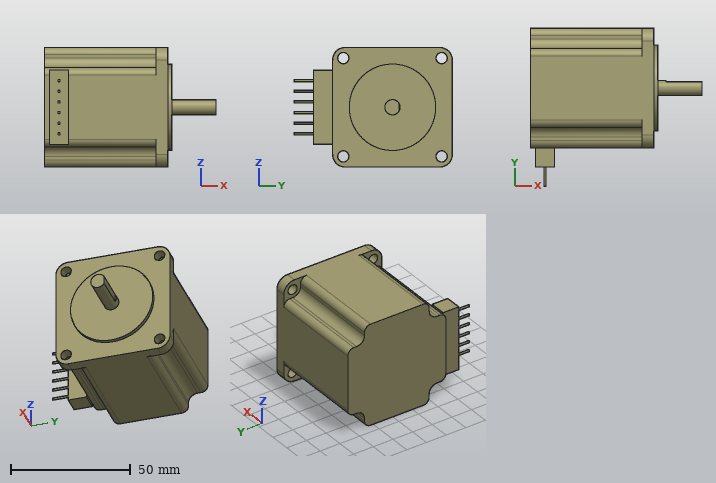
import cadquery as cq


body_width = 50.0
half_width = body_width / 2
flange_face_x = 51.5
flange_thickness = 5.1
flange_rear_x = flange_face_x - flange_thickness
flange_corner_radius = 5.35

hole_spacing = 41.0
hole_diameter = 4.6
relief_depth = 8.5
relief_edge_radius = 3.1
relief_inner_radius = relief_depth - (body_width - hole_spacing) / 2

pilot_diameter = 36.05
pilot_height = 1.65
pilot_face_x = flange_face_x + pilot_height
shaft_diameter = 6.35
shaft_radius = shaft_diameter / 2
shaft_end_x = 71.5
flat_depth = 0.5
flat_start_x = 56.55

connector_rear_x = 2.1
connector_width = 8.0
connector_depth = 8.0
connector_height = 31.0
pin_count = 6
pin_pitch = 4.4
pin_diameter = 1.0
pin_length = 8.0
pin_x = 6.1


def make_motor_can():
    """Square prism with a rounded notch along each corner, ending at the flange."""
    notch_size = 2 * relief_depth
    can = cq.Workplane("YZ").rect(body_width, body_width).extrude(flange_rear_x)
    notches = (
        cq.Workplane("YZ")
        .rect(body_width, body_width, forConstruction=True)
        .vertices()
        .rect(notch_size, notch_size)
        .extrude(flange_rear_x)
        .edges("|X")
        .fillet(relief_inner_radius)
    )
    return can.cut(notches).edges("|X").edges("<Y or >Y or <Z or >Z").fillet(relief_edge_radius)


def make_flange():
    """Square mounting flange with rounded corners and four through holes."""
    return (
        cq.Workplane("YZ", origin=(flange_rear_x, 0, 0))
        .rect(body_width, body_width)
        .extrude(flange_thickness)
        .edges("|X")
        .fillet(flange_corner_radius)
        .faces(">X")
        .workplane()
        .rect(hole_spacing, hole_spacing, forConstruction=True)
        .vertices()
        .hole(hole_diameter)
    )


def make_pilot():
    """Round centring boss on the flange face."""
    return cq.Workplane("YZ", origin=(flange_face_x, 0, 0)).circle(pilot_diameter / 2).extrude(pilot_height)


def make_shaft():
    """Output shaft with a flat on its +Y side."""
    shaft = (
        cq.Workplane("YZ", origin=(pilot_face_x, 0, 0))
        .circle(shaft_radius)
        .extrude(shaft_end_x - pilot_face_x)
    )
    flat_cutter = cq.Workplane(origin=(flat_start_x, shaft_radius - flat_depth, 0)).box(
        shaft_end_x - flat_start_x, flat_depth, shaft_diameter, centered=(False, False, True)
    )
    return shaft.cut(flat_cutter)


def make_connector():
    """Connector block flush against the -Y side, with a row of pins along Z."""
    front_y = -half_width - connector_depth
    block = cq.Workplane(origin=(connector_rear_x, front_y, 0)).box(
        connector_width, connector_depth, connector_height, centered=(False, False, True)
    )
    pins = (
        cq.Workplane("XZ", origin=(pin_x, front_y, 0))
        .rarray(0.7, pin_pitch, 1, pin_count)
        .circle(pin_diameter / 2)
        .extrude(pin_length)
    )
    return block.union(pins)


result = (
    make_motor_can()
    .union(make_flange())
    .union(make_pilot())
    .union(make_shaft())
    .union(make_connector())
)